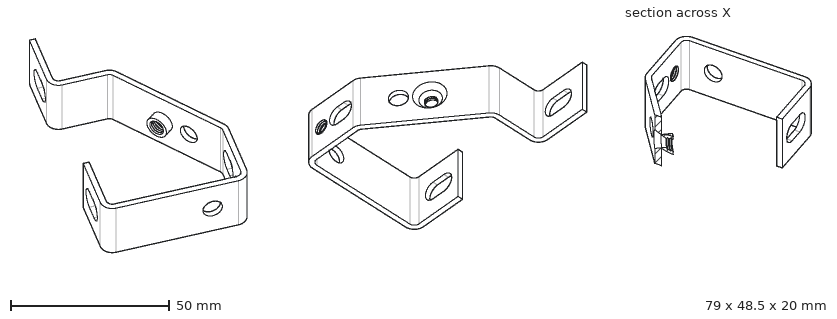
import cadquery as cq
import math

thickness = 2.0
width = 20.0
inner_bend = 2.0
outer_bend = inner_bend + thickness

length = 79.0
depth = 48.5
foot_length = 22.0

slope_start = (foot_length, 20.0)
slope_end = (55.5, depth - thickness)
slope_angle = math.atan2(slope_end[1] - slope_start[1], slope_end[0] - slope_start[0])
slope_along = (math.cos(slope_angle), math.sin(slope_angle))
slope_outward = (-math.sin(slope_angle), math.cos(slope_angle))

slot_height = 7.0
foot_slot_length = 12.0
left_slot_x = 11.0
right_slot_x = 66.0
back_slot_length = 10.0
back_slot_x = 62.0
plain_hole_diameter = 6.4
side_hole_y = 36.0

thread_pitch = 0.8
thread_major = 5.2
thread_minor = 4.3
back_thread_x = 71.0
back_thread_turns = 3

boss_distance = 19.9
boss_diameter = 7.5
boss_height = 3.3
boss_total_depth = thickness + boss_height
countersink_diameter = 11.0
boss_thread_turns = 3
slope_hole_distance = boss_distance + 10.0

cut_margin = 1.0


def slope_plane(distance, offset):
    """Plane on the sloping wall, normal pointing outward.

    distance runs along the inner face from its lower corner; offset is measured out from that face.
    """
    x = slope_start[0] + distance * slope_along[0] + offset * slope_outward[0]
    y = slope_start[1] + distance * slope_along[1] + offset * slope_outward[1]
    return cq.Plane(origin=(x, y, 0), xDir=(*slope_along, 0), normal=(*slope_outward, 0))


def y_plane(x, y):
    """Plane facing -Y, with its local X along +X and local Y along +Z."""
    return cq.Plane(origin=(x, y, 0), xDir=(1, 0, 0), normal=(0, -1, 0))


def bent_strip():
    """Strip of constant thickness with concentric inner and outer bends."""
    lower_shift = thickness * math.tan((math.pi / 2 - slope_angle) / 2)
    upper_shift = thickness * math.tan(slope_angle / 2)

    wall_x = foot_length - thickness
    right_inner = length - thickness
    back_inner = depth - thickness

    lower_outer = (wall_x, slope_start[1] + lower_shift)
    upper_outer = (slope_end[0] - upper_shift, depth)
    outline = [
        (0, 0),
        (foot_length, 0),
        slope_start,
        slope_end,
        (right_inner, back_inner),
        (right_inner, thickness),
        (length - foot_length, thickness),
        (length - foot_length, 0),
        (length, 0),
        (length, depth),
        upper_outer,
        lower_outer,
        (wall_x, thickness),
        (0, thickness),
    ]
    inner_corners = [
        (wall_x, thickness),
        slope_start,
        slope_end,
        (right_inner, back_inner),
        (right_inner, thickness),
    ]
    outer_corners = [(foot_length, 0), lower_outer, upper_outer, (length, depth), (length, 0)]

    strip = cq.Workplane("XY").polyline(outline).close().extrude(width / 2, both=True)
    strip = fillet_corners(strip, inner_corners, inner_bend)
    return fillet_corners(strip, outer_corners, outer_bend)


def fillet_corners(body, corners, radius):
    """Round the Z edges that stand on the given XY corners."""
    edges = cq.Workplane("XY")
    for x, y in corners:
        edges = edges.add(body.edges("|Z").edges(cq.selectors.NearestToPointSelector((x, y, 0))))
    return body.newObject(edges.vals()).fillet(radius)


def slot_cutter(x, y_front, slot_length):
    """Cutter for a slot along X, through one wall thickness towards +Y."""
    plane = y_plane(x, y_front - cut_margin)
    return cq.Workplane(plane).slot2D(slot_length, slot_height).extrude(-(thickness + 2 * cut_margin))


def round_cutter(plane):
    """Cutter for a plain round hole through the wall that the plane lies on."""
    radius = plain_hole_diameter / 2
    return cq.Workplane(plane).circle(radius).extrude(thickness + cut_margin, both=True)


def thread_cutter(plane, bore_length, turns, first_root):
    """Cutter for a bore along the plane's -normal, with V grooves standing in for the thread.

    first_root is the depth of the first groove's root below the plane.
    """
    root = thread_major / 2
    crest = thread_minor / 2
    half_pitch = thread_pitch / 2
    points = [(0, cut_margin), (crest, cut_margin)]
    for turn in range(turns):
        root_depth = first_root + turn * thread_pitch
        points += [(crest, half_pitch - root_depth), (root, -root_depth)]
    last_root = first_root + (turns - 1) * thread_pitch
    points += [
        (crest, -(last_root + half_pitch)),
        (crest, -(bore_length + cut_margin)),
        (0, -(bore_length + cut_margin)),
    ]
    axis_plane = cq.Plane(origin=plane.origin, xDir=plane.xDir, normal=plane.xDir.cross(plane.zDir))
    return cq.Workplane(axis_plane).polyline(points).close().revolve(360, (0, 0), (0, 1))


def add_boss(body):
    """Round boss on the inner face, countersunk from outside and threaded through."""
    boss = cq.Workplane(slope_plane(boss_distance, 0)).circle(boss_diameter / 2).extrude(-boss_height)
    outer_plane = slope_plane(boss_distance, thickness)
    cone_depth = (countersink_diameter - thread_minor) / 2
    cone = cq.Workplane(
        cq.Solid.makeCone(
            countersink_diameter / 2,
            thread_minor / 2,
            cone_depth,
            pnt=outer_plane.origin,
            dir=-outer_plane.zDir,
        )
    )
    first_root = boss_total_depth - (boss_thread_turns - 1) * thread_pitch
    thread = thread_cutter(outer_plane, boss_total_depth, boss_thread_turns, first_root)
    return body.union(boss).cut(cone).cut(thread)


result = bent_strip()

for foot_slot_x in (left_slot_x, right_slot_x):
    result = result.cut(slot_cutter(foot_slot_x, 0, foot_slot_length))

back_face_y = depth - thickness
result = result.cut(slot_cutter(back_slot_x, back_face_y, back_slot_length))
back_first_root = (thickness - (back_thread_turns - 1) * thread_pitch) / 2
back_thread_plane = y_plane(back_thread_x, back_face_y)
result = result.cut(thread_cutter(back_thread_plane, thickness, back_thread_turns, back_first_root))

side_plane = cq.Plane(origin=(length, side_hole_y, 0), xDir=(0, 1, 0), normal=(1, 0, 0))
result = result.cut(round_cutter(side_plane))

result = result.cut(round_cutter(slope_plane(slope_hole_distance, 0)))
result = add_boss(result)